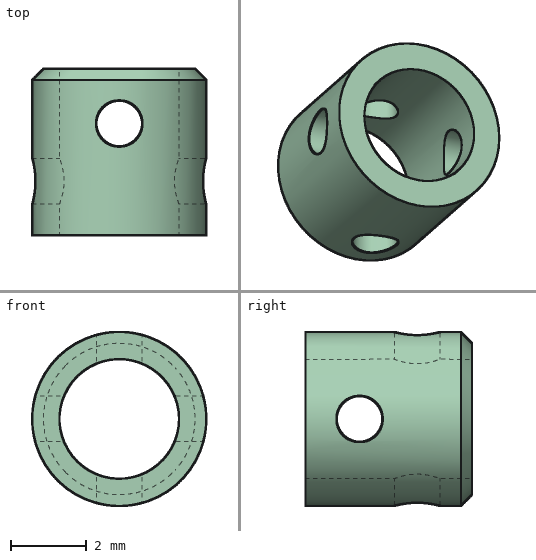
import cadquery as cq

outer_diameter = 4.6
bore_diameter = 3.15
length = 4.4
end_chamfer = 0.3

cross_hole_diameter = 1.2
rim_chamfer = 0.015
side_hole_y = 1.43
rear_end_to_vertical_hole = 1.45
vertical_hole_y = length - rear_end_to_vertical_hole


def make_blank():
    """Solid cylinder along +Y with its rear edge chamfered."""
    cylinder = cq.Workplane("XZ").circle(outer_diameter / 2).extrude(-length)
    return cylinder.faces(">Y").edges().chamfer(end_chamfer)


def make_cross_hole(y, direction):
    """Cylinder through both walls, crossing the sleeve axis at the given Y."""
    start = cq.Vector(0, y, 0) - direction * outer_diameter
    return cq.Solid.makeCylinder(cross_hole_diameter / 2, 2 * outer_diameter, start, direction)


def rim_box(y):
    """Selector for the hole rims, whose centres all lie close to the given Y."""
    reach = outer_diameter
    half_width = cross_hole_diameter / 2
    return cq.selectors.BoxSelector(
        (-reach, y - half_width, -reach),
        (reach, y + half_width, reach),
    )


def drill_cross_hole(body, y, direction):
    """Cut one cross hole and chamfer both of its outer rims."""
    drilled = body.cut(make_cross_hole(y, direction))
    return drilled.edges("not %LINE").edges(rim_box(y)).chamfer(rim_chamfer)


def cut_bore(body):
    """Open the body from end to end along its axis."""
    return body.cut(cq.Workplane("XZ").circle(bore_diameter / 2).extrude(-length))


result = make_blank()
result = drill_cross_hole(result, side_hole_y, cq.Vector(1, 0, 0))
result = drill_cross_hole(result, vertical_hole_y, cq.Vector(0, 0, 1))
result = cut_bore(result)